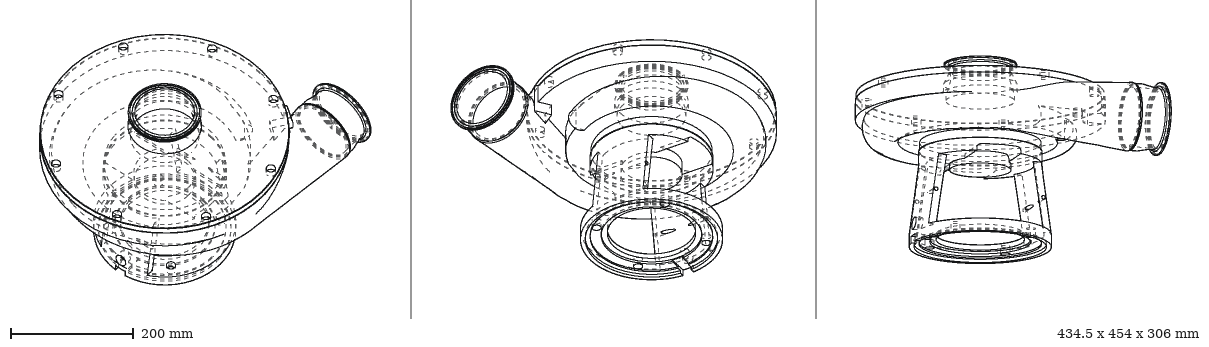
import cadquery as cq
import math


flange_radius = 116.0
flange_height = 21.0
flange_bore_radius = 72.0
flange_recesses = [(108.0, 5.3), (100.0, 8.1), (82.0, 12.2)]
flange_bolt_circle_radius = 92.0
flange_bolt_diameter = 15.0
flange_bolt_count = 4
flange_bolt_start_angle = 45.0
drain_slot_width = 20.0
drain_slot_height = 11.0

leg_width = 96.0
leg_wall = 12.0
leg_window_diameter = 20.0
leg_pin_diameter = 6.0
leg_pin_offset = 92.5
leg_pin_z = 79.6

hub_radius = 100.5
hub_bottom = 138.3
hub_top = 160.0
hub_notch_width = 76.0
hub_notch_top = 149.2
hub_notch_corner_radius = 7.0
boss_radius = 50.0
boss_bottom = 128.8
neck_radius = 99.0

body_radius = 204.0
body_bottom = 212.0
body_top = 244.5
cover_radius = 203.0
cover_top = 256.0
cover_chamfer = 0.8
cover_hole_diameter = 15.0
cover_hole_circle_radius = 189.5
cover_hole_count = 8
cover_hole_start_angle = 14.5

volute_stations = [
    (60.0, 135.0, 191.0, 19.0),
    (90.0, 140.0, 192.0, 21.5),
    (180.0, 153.0, 196.0, 29.0),
    (270.0, 160.3, 198.5, 35.0),
    (315.0, 166.0, 198.8, 38.0),
    (360.0, 169.5, 199.0, 39.0),
]
volute_step = 20.0
back_plate_radius = 140.0
back_plate_bottom = 175.0

outlet_x = 171.0
outlet_z = 195.0
outlet_end = 250.0
outlet_pipe_end = 198.5
outlet_pipe_radius = 56.3
outlet_neck_end = 202.0
outlet_neck_radius = 52.5
outlet_body_radius = 55.0
outlet_body_end = 216.0
outlet_cone_end = 235.3

web_angle = 53.8
web_outer_distance = 210.0
web_thickness = 30.0
web_length = 48.0
web_shift = -14.0
web_bottom = 193.0
web_top = body_top
web_fillet = 6.0

inlet_end = 306.0
inlet_body_radius = 60.0
inlet_body_end = 272.0
inlet_cone_end = 291.0
inlet_root_fillet = 5.5
inlet_floor = body_top
inlet_wide_bore_radius = 56.0
inlet_wide_bore_end = 253.0
inlet_bore_start = 278.0

rim_radius = 59.5
rim_thickness = 2.85
rim_taper_radius = 53.5
rim_taper_depth = 5.0
pipe_radius = 50.8
pipe_start_depth = 7.3
ferrule_bore_radius = 48.4
gasket_inner_radius = 53.0
gasket_outer_radius = 57.0
gasket_depth = 1.2


def cylinder(radius, bottom, top):
    return cq.Workplane("XY").workplane(offset=bottom).circle(radius).extrude(top - bottom)


def revolve_about_z(points):
    return cq.Workplane("XZ").polyline(points).close().revolve(360, (0, 0, 0), (0, 1, 0))


def rim_profile(end):
    """Outer clamp-rim points from the plain pipe up to the axis at the end face."""
    return [
        (pipe_radius, end - pipe_start_depth),
        (rim_taper_radius, end - rim_taper_depth),
        (rim_radius, end - rim_thickness),
        (rim_radius, end),
        (0, end),
    ]


def gasket_groove(end):
    return cylinder(gasket_outer_radius, end - gasket_depth, end).cut(
        cylinder(gasket_inner_radius, end - gasket_depth, end)
    )


def make_motor_flange():
    ring = cylinder(flange_radius, 0, flange_height).cut(cylinder(flange_bore_radius, 0, flange_height))
    for radius, ceiling in flange_recesses:
        ring = ring.cut(cylinder(radius, 0, ceiling))
    holes = (
        cq.Workplane("XY")
        .polarArray(flange_bolt_circle_radius, flange_bolt_start_angle, 360, flange_bolt_count)
        .circle(flange_bolt_diameter / 2)
        .extrude(flange_height)
    )
    slot = cq.Workplane("XY").box(
        drain_slot_width, flange_radius, drain_slot_height, centered=(True, False, False)
    )
    return ring.cut(holes).cut(slot.translate((0, -flange_radius, 0)))


def make_legs():
    shell = revolve_about_z([
        (flange_radius - leg_wall, flange_height),
        (flange_radius, flange_height),
        (hub_radius, hub_bottom),
        (hub_radius - leg_wall, hub_bottom),
    ])
    strip = cq.Workplane("XY").box(leg_width, 2 * flange_radius, hub_bottom, centered=(True, True, False))
    legs = shell.intersect(strip)
    window = (
        cq.Workplane("XZ")
        .center(0, flange_height + leg_window_diameter / 2)
        .circle(leg_window_diameter / 2)
        .extrude(flange_radius)
    )
    pins = (
        cq.Workplane("YZ")
        .pushPoints([(-leg_pin_offset, leg_pin_z), (leg_pin_offset, leg_pin_z)])
        .circle(leg_pin_diameter / 2)
        .extrude(leg_width, both=True)
    )
    return legs.cut(window).cut(pins)


def make_hub():
    notch = (
        cq.Workplane("XY")
        .workplane(offset=hub_bottom)
        .rect(2 * hub_radius, hub_notch_width)
        .extrude(hub_notch_top - hub_bottom)
        .edges("|X and >Z")
        .fillet(hub_notch_corner_radius)
    )
    hub = cylinder(hub_radius, hub_bottom, hub_top).cut(notch)
    neck = cylinder(neck_radius, hub_top, back_plate_bottom)
    back_plate = cylinder(back_plate_radius, back_plate_bottom, body_bottom)
    return hub.union(cylinder(boss_radius, boss_bottom, hub_top)).union(neck).union(back_plate)


def make_body_and_cover():
    cover = cylinder(cover_radius, body_top, cover_top).faces(">Z").edges().chamfer(cover_chamfer)
    holes = (
        cq.Workplane("XY")
        .workplane(offset=body_top)
        .polarArray(cover_hole_circle_radius, cover_hole_start_angle, 360, cover_hole_count)
        .circle(cover_hole_diameter / 2)
        .extrude(cover_top - body_top)
    )
    return cylinder(body_radius, body_bottom, body_top).union(cover.cut(holes))


def volute_section(angle):
    """Circular section of the volute, interpolated between its stations."""
    for start, end in zip(volute_stations, volute_stations[1:]):
        if angle <= end[0]:
            break
    share = (angle - start[0]) / (end[0] - start[0])
    centre, height, radius = [a + share * (b - a) for a, b in zip(start[1:], end[1:])]
    turn = math.radians(angle)
    direction = cq.Vector(math.cos(turn), math.sin(turn), 0)
    position = direction * centre + cq.Vector(0, 0, height)
    normal = cq.Vector(-math.sin(turn), math.cos(turn), 0)
    return circle_wire(radius, position, normal)


def circle_wire(radius, position, normal):
    frame = cq.Plane(origin=position, xDir=(0, 0, 1), normal=normal)
    return cq.Workplane(frame).circle(radius).wires().val()


def make_volute():
    first = volute_stations[0][0]
    last = volute_stations[-1][0]
    count = round((last - first) / volute_step)
    sections = [volute_section(first + i * volute_step) for i in range(count + 1)]
    scroll = cq.Workplane(cq.Solid.makeLoft(sections))
    pipe_end = circle_wire(
        outlet_pipe_radius, cq.Vector(outlet_x, outlet_pipe_end, outlet_z), cq.Vector(0, 1, 0)
    )
    pipe = cq.Workplane(cq.Solid.makeLoft([sections[-1], pipe_end], True))
    return scroll.union(pipe)


def make_web():
    web = (
        cq.Workplane("XY")
        .box(web_thickness, web_length, web_top - web_bottom, centered=(False, True, False))
        .edges("|Y and >X and >Z")
        .fillet(web_fillet)
    )
    web = web.translate((web_outer_distance - web_thickness, web_shift, web_bottom))
    return web.rotate((0, 0, 0), (0, 0, 1), web_angle)


def place_on_outlet(shape):
    """Turn a shape built along Z so it lies along Y on the discharge axis."""
    return shape.rotate((0, 0, 0), (1, 0, 0), -90).translate((outlet_x, 0, outlet_z))


def make_outlet_ferrule():
    outer = revolve_about_z([
        (0, outlet_pipe_end),
        (outlet_neck_radius, outlet_pipe_end),
        (outlet_neck_radius, outlet_neck_end),
        (outlet_body_radius, outlet_neck_end),
        (outlet_body_radius, outlet_body_end),
        (pipe_radius, outlet_cone_end),
    ] + rim_profile(outlet_end))
    return place_on_outlet(outer.cut(gasket_groove(outlet_end)))


def make_outlet_bore():
    return place_on_outlet(cylinder(ferrule_bore_radius, outlet_pipe_end, outlet_end))


def make_inlet_ferrule():
    root = inlet_body_radius + inlet_root_fillet
    fillet_top = cover_top + inlet_root_fillet
    middle = inlet_root_fillet * (1 - math.sqrt(0.5))
    profile = (
        cq.Workplane("XZ")
        .moveTo(0, cover_top)
        .lineTo(root, cover_top)
        .threePointArc((inlet_body_radius + middle, cover_top + middle), (inlet_body_radius, fillet_top))
        .lineTo(inlet_body_radius, inlet_body_end)
        .lineTo(pipe_radius, inlet_cone_end)
    )
    for point in rim_profile(inlet_end):
        profile = profile.lineTo(*point)
    outer = profile.close().revolve(360, (0, 0, 0), (0, 1, 0))
    return outer.cut(gasket_groove(inlet_end))


def make_inlet_bore():
    return revolve_about_z([
        (0, inlet_floor),
        (inlet_wide_bore_radius, inlet_floor),
        (inlet_wide_bore_radius, inlet_wide_bore_end),
        (ferrule_bore_radius, inlet_bore_start),
        (ferrule_bore_radius, inlet_end),
        (0, inlet_end),
    ])


result = (
    make_motor_flange()
    .union(make_legs())
    .union(make_hub())
    .union(make_volute())
    .union(make_web())
    .union(make_body_and_cover())
    .union(make_outlet_ferrule())
    .union(make_inlet_ferrule())
    .cut(make_outlet_bore())
    .cut(make_inlet_bore())
)